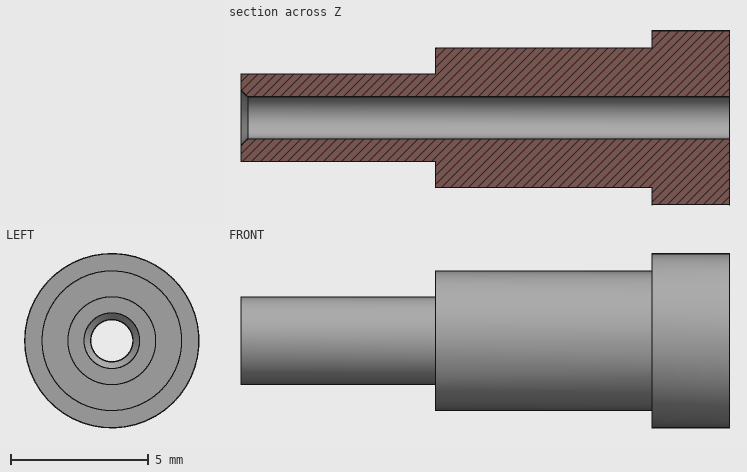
import cadquery as cq

total_length = 17.78
tip_length = 7.08
head_length = 2.83
body_length = total_length - tip_length - head_length

tip_diameter = 3.2
body_diameter = 5.09
head_diameter = 6.35

bore_diameter = 1.53
countersink_diameter = 2.03
countersink_depth = (countersink_diameter - bore_diameter) / 2

tip_x = -total_length / 2


def stepped_body():
    """Three coaxial cylinders stacked from the tip to the head."""
    return (
        cq.Workplane("YZ", origin=(tip_x, 0, 0))
        .circle(tip_diameter / 2)
        .extrude(tip_length)
        .faces(">X")
        .workplane()
        .circle(body_diameter / 2)
        .extrude(body_length)
        .faces(">X")
        .workplane()
        .circle(head_diameter / 2)
        .extrude(head_length)
    )


def through_bore():
    """Bore along the whole part."""
    return (
        cq.Workplane("YZ", origin=(tip_x, 0, 0))
        .circle(bore_diameter / 2)
        .extrude(total_length)
    )


def countersink():
    """Cone that opens the bore at the tip."""
    cone = cq.Solid.makeCone(
        countersink_diameter / 2,
        bore_diameter / 2,
        countersink_depth,
        pnt=cq.Vector(tip_x, 0, 0),
        dir=cq.Vector(1, 0, 0),
    )
    return cq.Workplane(cone)


result = stepped_body().cut(through_bore()).cut(countersink())